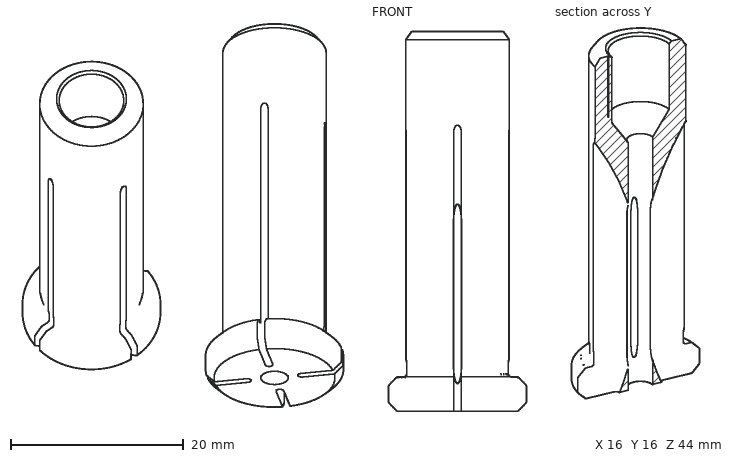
import cadquery as cq

length = 44.0
body_radius = 12.0 / 2
top_chamfer_width = 0.7
top_chamfer_height = 0.95
top_edge_rounding = 0.3

neck_radius = 5.9
neck_top = 5.65
neck_taper_top = 6.1
neck_fillet = 0.35

flange_radius = 8.0
flange_height = 4.0
flange_chamfer = 1.0
flange_edge_rounding = 0.35

bore_radius = 7.5 / 2
bore_floor = 35.2
bore_mouth_chamfer = 0.3
through_radius = 3.15 / 2
cone_height = 3.1

slot_width = 0.9
saw_radius = 34.75
saw_center_height = 13.6
slot_count = 4


def make_body():
    """Revolve the outer outline, then round its edges."""
    flange_chamfer_radius = flange_radius - flange_chamfer
    outline = (
        cq.Workplane("XZ")
        .lineTo(flange_chamfer_radius, 0)
        .lineTo(flange_radius, flange_chamfer)
        .lineTo(flange_radius, flange_height - flange_chamfer)
        .lineTo(flange_chamfer_radius, flange_height)
        .lineTo(neck_radius, flange_height)
        .lineTo(neck_radius, neck_top)
        .lineTo(body_radius, neck_taper_top)
        .lineTo(body_radius, length - top_chamfer_height)
        .lineTo(body_radius - top_chamfer_width, length)
        .lineTo(0, length)
        .close()
    )
    body = outline.revolve(360, (0, 0, 0), (0, 1, 0))
    body = round_edge(body, neck_radius, flange_height, neck_fillet)
    body = round_edge(body, flange_chamfer_radius, flange_height, flange_edge_rounding)
    body = round_edge(body, flange_radius, flange_height - flange_chamfer, flange_edge_rounding)
    body = round_edge(body, flange_radius, flange_chamfer, flange_edge_rounding)
    return round_edge(body, body_radius - top_chamfer_width, length, top_edge_rounding)


def round_edge(body, edge_radius, edge_height, fillet_radius):
    """Fillet the circular edge at the given radius and height."""
    tolerance = 0.005
    edges = body.edges("%CIRCLE").filter(
        lambda edge: abs(edge.radius() - edge_radius) < tolerance
        and abs(edge.Center().z - edge_height) < tolerance
    )
    return edges.fillet(fillet_radius)


def make_bore():
    """Revolved cutter for the wide bore, its cone and the narrow through hole."""
    return (
        cq.Workplane("XZ")
        .lineTo(through_radius, 0)
        .lineTo(through_radius, bore_floor - cone_height)
        .lineTo(bore_radius, bore_floor)
        .lineTo(bore_radius, length - bore_mouth_chamfer)
        .lineTo(bore_radius + bore_mouth_chamfer, length)
        .lineTo(0, length)
        .close()
        .revolve(360, (0, 0, 0), (0, 1, 0))
    )


def make_saw():
    """Disc with a fully rounded rim, lying in the XZ plane on the +X side."""
    half_width = slot_width / 2
    rim_start = saw_radius - half_width
    return (
        cq.Workplane("XY")
        .moveTo(0, -half_width)
        .lineTo(rim_start, -half_width)
        .threePointArc((saw_radius, 0), (rim_start, half_width))
        .lineTo(0, half_width)
        .close()
        .revolve(360, (0, 0, 0), (0, 1, 0))
        .translate((saw_radius, 0, saw_center_height))
    )


result = make_body().cut(make_bore())
saw = make_saw()
for slot in range(slot_count):
    angle = slot * 360 / slot_count
    result = result.cut(saw.rotate((0, 0, 0), (0, 0, 1), angle))